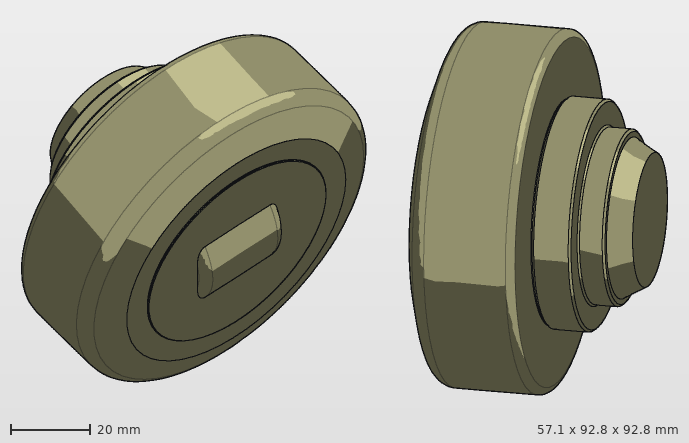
import cadquery as cq
import math

OVERALL_LENGTH = 57.1

PIN_D = 45.0
PIN_TIP_R = 17.1
PIN_TIP_LENGTH = 5.9
PIN_TIP_ANGLE = 30.0
PIN_CHAMFER = 0.6

FLANGE_D = 59.0
FLANGE_START = 12.9
FLANGE_END = 23.1
PIN_ROOT_CHAMFER = 0.5

CORE_D = 57.8
CORE_END = 53.9
CORE_CHAMFER = 0.2

ROLLER_D = 92.8
ROLLER_START = 23.4
ROLLER_WIDTH = 30.0
ROLLER_CROWN_DROP = 0.05
ROLLER_BACK_FILLET = 2.0
ROLLER_FRONT_FILLET = 4.0
ROLLER_FACE_R = 35.5
ROLLER_CONE_ANGLE = 70.0

AXIAL_ROLLER_R = 19.0
AXIAL_ROLLER_WIDTH = 26.0
AXIAL_ROLLER_CROWN_DROP = 0.1
AXIAL_ROLLER_FILLET = 2.5


def turn(profile):
    """Revolve a closed XY profile about the X axis."""
    return profile.close().revolve(360, (0, 0, 0), (1, 0, 0))


def make_shaft():
    """Pin, flange ring and core as one turned body."""
    pin_r = PIN_D / 2
    flange_r = FLANGE_D / 2
    core_r = CORE_D / 2
    flange_chamfer = flange_r - core_r
    tip_base_r = PIN_TIP_R + PIN_TIP_LENGTH * math.tan(math.radians(PIN_TIP_ANGLE))
    return turn(
        cq.Workplane("XY")
        .moveTo(0, 0)
        .lineTo(0, PIN_TIP_R)
        .lineTo(PIN_TIP_LENGTH, tip_base_r)
        .lineTo(PIN_TIP_LENGTH, pin_r - PIN_CHAMFER)
        .lineTo(PIN_TIP_LENGTH + PIN_CHAMFER, pin_r)
        .lineTo(FLANGE_START - PIN_ROOT_CHAMFER, pin_r)
        .lineTo(FLANGE_START, pin_r + PIN_ROOT_CHAMFER)
        .lineTo(FLANGE_START, flange_r - flange_chamfer)
        .lineTo(FLANGE_START + flange_chamfer, flange_r)
        .lineTo(FLANGE_END - flange_chamfer, flange_r)
        .lineTo(FLANGE_END, core_r)
        .lineTo(CORE_END - CORE_CHAMFER, core_r)
        .lineTo(CORE_END, core_r - CORE_CHAMFER)
        .lineTo(CORE_END, 0)
    )


def make_roller():
    """Crowned roller with a rounded back edge and a rounded, conical front."""
    roller_r = ROLLER_D / 2
    edge_r = roller_r - ROLLER_CROWN_DROP
    roller_end = ROLLER_START + ROLLER_WIDTH
    cone_length = (edge_r - ROLLER_FACE_R) / math.tan(math.radians(ROLLER_CONE_ANGLE))
    cone_start = roller_end - cone_length
    crown_middle = (ROLLER_START + cone_start) / 2
    roller = turn(
        cq.Workplane("XY")
        .moveTo(ROLLER_START, 0)
        .lineTo(ROLLER_START, edge_r)
        .threePointArc((crown_middle, roller_r), (cone_start, edge_r))
        .lineTo(roller_end, ROLLER_FACE_R)
        .lineTo(roller_end, 0)
    )
    roller = roller.faces("<X").edges("%CIRCLE").fillet(ROLLER_BACK_FILLET)
    cone_base_edge = roller.faces("%CONE").edges("<X")
    return cone_base_edge.fillet(ROLLER_FRONT_FILLET)


def make_axial_roller():
    """Round-edged roller whose rim reaches the far end of the part."""
    axis_x = OVERALL_LENGTH - AXIAL_ROLLER_R
    rim_edge_x = OVERALL_LENGTH - AXIAL_ROLLER_CROWN_DROP
    half_width = AXIAL_ROLLER_WIDTH / 2
    return (
        cq.Workplane("XY")
        .moveTo(axis_x, -half_width)
        .lineTo(rim_edge_x, -half_width)
        .threePointArc((OVERALL_LENGTH, 0), (rim_edge_x, half_width))
        .lineTo(axis_x, half_width)
        .close()
        .revolve(360, (axis_x, 0, 0), (axis_x, 1, 0))
        .faces("<Y or >Y")
        .edges("%CIRCLE")
        .fillet(AXIAL_ROLLER_FILLET)
    )


result = make_shaft().union(make_roller()).union(make_axial_roller())